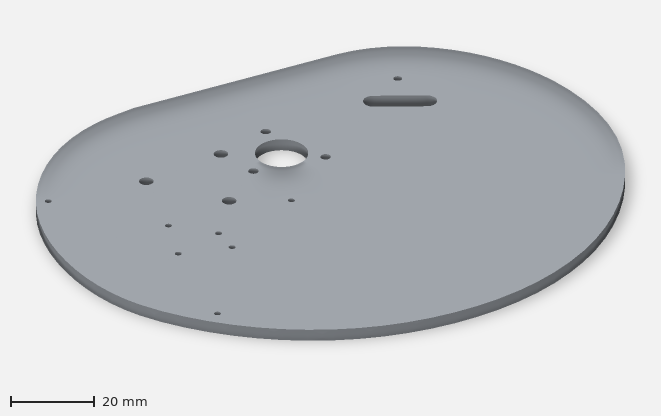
import cadquery as cq
import math

THICKNESS = 3.0

FLANK_TOP = (-22.1, 56.7)
FLANK_BOTTOM = (-57.8, 15.3)
CORNER_END = (-60.4, 11.2)
ROUND_EDGE = [
    (-11.3, 64.8),
    (12.2, 69.1),
    (35.8, 62.0),
    (54.6, 45.8),
    (64.8, 23.6),
    (67.0, 0.0),
    (61.7, -22.4),
    (49.6, -41.7),
    (32.6, -56.7),
    (11.6, -66.1),
    (-12.0, -69.0),
    (-24.5, -67.5),
    (-46.6, -55.7),
    (-62.0, -36.0),
    (-67.3, -11.9),
]

HUB_CENTER = (-17.3, 9.4)
HUB_DIAMETER = 12.7
HUB_SCREW_DIAMETER = 2.5
HUB_SCREW_RADIUS = 10.6
HUB_SCREW_COUNT = 3
HUB_SCREW_START_ANGLE = 13

SLOT_CENTER = (-0.1, 42.3)
SLOT_WIDTH = 5.0
SLOT_CENTER_DISTANCE = 12.7
SLOT_ANGLE = 23

LARGE_DIAMETER = 3.5
LARGE_HOLES = [(-30.5, 3.6), (-42.3, -14.8), (-20.6, -15.6)]
MEDIUM_DIAMETER = 2.1
MEDIUM_HOLES = [(-4.5, 51.7)]
SMALL_DIAMETER = 1.7
SMALL_HOLES = [
    (-6.9, -9.8),
    (-17.3, -30.4),
    (-29.7, -31.7),
    (-60.5, -32.1),
    (-11.9, -35.1),
    (-22.7, -42.7),
    (-3.6, -64.7),
]


def make_plate():
    return (
        cq.Workplane("XY")
        .moveTo(*CORNER_END)
        .lineTo(*FLANK_BOTTOM)
        .lineTo(*FLANK_TOP)
        .spline(ROUND_EDGE + [CORNER_END], includeCurrent=True)
        .close()
        .extrude(THICKNESS)
    )


def round_cutters(centers, diameter):
    return cq.Workplane("XY").pushPoints(centers).circle(diameter / 2).extrude(THICKNESS)


def slot_cutter():
    return (
        cq.Workplane("XY")
        .center(*SLOT_CENTER)
        .slot2D(SLOT_CENTER_DISTANCE + SLOT_WIDTH, SLOT_WIDTH, SLOT_ANGLE)
        .extrude(THICKNESS)
    )


def hub_screw_centers():
    centers = []
    for index in range(HUB_SCREW_COUNT):
        angle = math.radians(HUB_SCREW_START_ANGLE + index * 360 / HUB_SCREW_COUNT)
        x = HUB_CENTER[0] + HUB_SCREW_RADIUS * math.cos(angle)
        y = HUB_CENTER[1] + HUB_SCREW_RADIUS * math.sin(angle)
        centers.append((x, y))
    return centers


result = make_plate().cut(slot_cutter())

HOLE_GROUPS = [
    ([HUB_CENTER], HUB_DIAMETER),
    (hub_screw_centers(), HUB_SCREW_DIAMETER),
    (LARGE_HOLES, LARGE_DIAMETER),
    (MEDIUM_HOLES, MEDIUM_DIAMETER),
    (SMALL_HOLES, SMALL_DIAMETER),
]
for hole_centers, hole_diameter in HOLE_GROUPS:
    result = result.cut(round_cutters(hole_centers, hole_diameter))